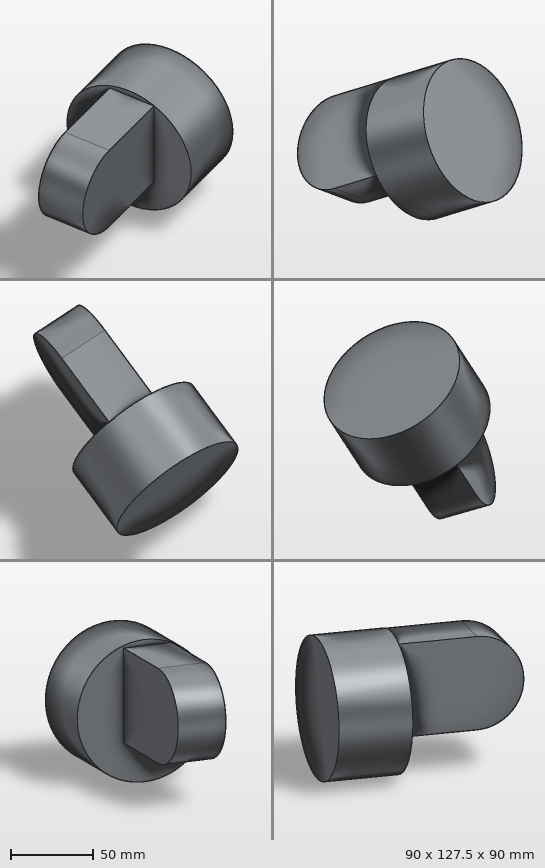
import cadquery as cq

base_diameter = 90.0
base_depth = 47.0

total_length = 127.5
tongue_width = 32.0
tongue_height = 60.0
tongue_offset_x = 2.0
tongue_offset_z = 11.1

tip_radius = tongue_height / 2
tip_center_y = tip_radius - total_length
tongue_bottom = tongue_offset_z - tip_radius
tongue_top = tongue_offset_z + tip_radius


def make_base():
    """Cylinder from Y = 0 to its front face at Y = -base_depth."""
    return cq.Workplane("XZ").circle(base_diameter / 2).extrude(base_depth)


def make_tongue():
    """Plate with a full-round tip, offset from the base axis in X and Z."""
    return (
        cq.Workplane("YZ", origin=(tongue_offset_x, 0, 0))
        .moveTo(-base_depth, tongue_bottom)
        .lineTo(tip_center_y, tongue_bottom)
        .threePointArc((-total_length, tongue_offset_z), (tip_center_y, tongue_top))
        .lineTo(-base_depth, tongue_top)
        .close()
        .extrude(tongue_width / 2, both=True)
    )


result = make_base().union(make_tongue())